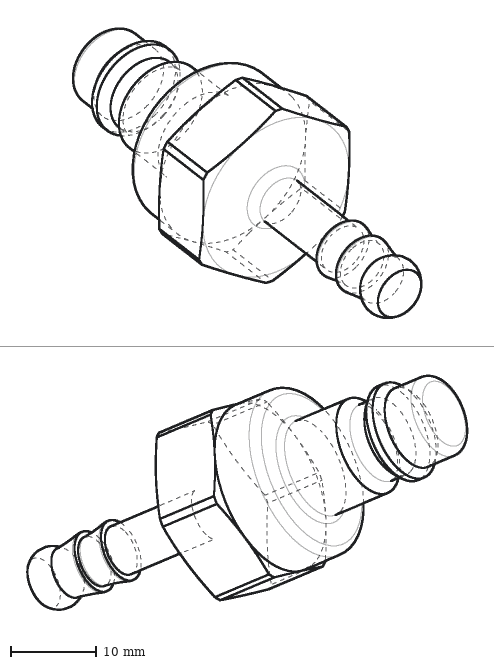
import cadquery as cq
import math

TOTAL_LENGTH = 60.0

NOSE_RADIUS = 10.0 / 2
NOSE_ROUND = 0.95
PLUG_RADIUS = 12.0 / 2
NECK_RADIUS = 9.7 / 2
RING_FOOT_X = 4.9
RING_CREST_X = 5.95
RING_CREST_END_X = 6.9
NECK_START_X = 8.1
SHOULDER_X = 11.4
RING_BULGE = 0.05

COLLAR_X = 19.85
COLLAR_RADIUS = 21.0 / 2
COLLAR_ROUND = 1.0
COLLAR_FILLET = 0.7
HEX_X = 26.05
HEX_END_X = 34.85
HEX_ACROSS_FLATS = 2 * COLLAR_RADIUS
HEX_CORNER_RADIUS = 23.7 / 2
HEX_TILT = 3.3
HEX_CHAMFER = 0.35

TAIL_RADIUS = 6.1 / 2
TAIL_FILLET = 1.1
BARB_RADIUS = 3.8
BARB_ROOT_RADIUS = 3.1
BARB_STARTS = (48.4, 52.4)
BARB_LAND = 0.3
BULB_LENGTH = 3.6
BULB_RADIUS = 3.85
BULB_X = TOTAL_LENGTH - BULB_LENGTH
BARB_ENDS = (52.1, BULB_X)
BARB_HOLLOW = 0.05

ROUND_MID = math.sqrt(0.5)


def bowed_middle(start, end, bow):
    """Middle point of a curved flank, raised by the bow above its straight chord."""
    return ((start[0] + end[0]) / 2, (start[1] + end[1]) / 2 + bow)


def make_plug():
    """Plug with locking ring and neck, its collar, and the fillet between them."""
    round_gap = NOSE_ROUND * (1 - ROUND_MID)
    collar_gap = COLLAR_ROUND * (1 - ROUND_MID)
    ring_edge = (RING_CREST_END_X, PLUG_RADIUS)
    neck_start = (NECK_START_X, NECK_RADIUS)
    shoulder_fillet = PLUG_RADIUS - NECK_RADIUS
    shoulder_gap = shoulder_fillet * (1 - ROUND_MID)
    fillet_bow = COLLAR_FILLET * ROUND_MID
    fillet_radius = PLUG_RADIUS + COLLAR_FILLET
    return (
        cq.Workplane("XY")
        .moveTo(0, 0)
        .lineTo(0, NOSE_RADIUS - NOSE_ROUND)
        .threePointArc((round_gap, NOSE_RADIUS - round_gap), (NOSE_ROUND, NOSE_RADIUS))
        .lineTo(RING_FOOT_X, NOSE_RADIUS)
        .lineTo(RING_CREST_X, PLUG_RADIUS)
        .lineTo(*ring_edge)
        .threePointArc(bowed_middle(ring_edge, neck_start, RING_BULGE), neck_start)
        .lineTo(SHOULDER_X - shoulder_fillet, NECK_RADIUS)
        .threePointArc(
            (SHOULDER_X - shoulder_gap, NECK_RADIUS + shoulder_gap),
            (SHOULDER_X, PLUG_RADIUS),
        )
        .lineTo(COLLAR_X - COLLAR_FILLET, PLUG_RADIUS)
        .threePointArc(
            (COLLAR_X - COLLAR_FILLET + fillet_bow, fillet_radius - fillet_bow),
            (COLLAR_X, fillet_radius),
        )
        .lineTo(COLLAR_X, COLLAR_RADIUS - COLLAR_ROUND)
        .threePointArc(
            (COLLAR_X + collar_gap, COLLAR_RADIUS - collar_gap),
            (COLLAR_X + COLLAR_ROUND, COLLAR_RADIUS),
        )
        .lineTo(HEX_X, COLLAR_RADIUS)
        .lineTo(HEX_X, 0)
        .close()
        .revolve(360, (0, 0, 0), (1, 0, 0))
    )


def make_hexagon():
    """Hexagon whose corners are turned down to a cylinder and chamfered at both ends."""
    length = HEX_END_X - HEX_X
    prism = (
        cq.Workplane("YZ", origin=(HEX_X, 0, 0))
        .polygon(6, HEX_ACROSS_FLATS, circumscribed=True)
        .extrude(length)
        .rotate((0, 0, 0), (1, 0, 0), -HEX_TILT)
    )
    turned_blank = (
        cq.Workplane("YZ", origin=(HEX_X, 0, 0))
        .circle(HEX_CORNER_RADIUS)
        .extrude(length)
        .faces("<X or >X")
        .chamfer(HEX_CHAMFER, HEX_CORNER_RADIUS - HEX_ACROSS_FLATS / 2)
    )
    return prism.intersect(turned_blank)


def make_tail():
    """Hose tail with a fillet at its root, two barbs and a rounded tip bulb."""
    fillet_radius = TAIL_RADIUS + TAIL_FILLET
    fillet_gap = TAIL_FILLET * (1 - ROUND_MID)
    profile = (
        cq.Workplane("XY")
        .moveTo(HEX_END_X, 0)
        .lineTo(HEX_END_X, fillet_radius)
        .threePointArc(
            (HEX_END_X + fillet_gap, TAIL_RADIUS + fillet_gap),
            (HEX_END_X + TAIL_FILLET, TAIL_RADIUS),
        )
    )
    profile_radius = TAIL_RADIUS
    for start_x, end_x in zip(BARB_STARTS, BARB_ENDS):
        crest_end = (start_x + BARB_LAND, BARB_RADIUS)
        root = (end_x, BARB_ROOT_RADIUS)
        profile = (
            profile.lineTo(start_x, profile_radius)
            .lineTo(start_x, BARB_RADIUS)
            .lineTo(*crest_end)
            .threePointArc(bowed_middle(crest_end, root, -BARB_HOLLOW), root)
        )
        profile_radius = BARB_ROOT_RADIUS
    return (
        profile.threePointArc((BULB_X + BULB_LENGTH / 2, BULB_RADIUS), (TOTAL_LENGTH, BARB_ROOT_RADIUS))
        .lineTo(TOTAL_LENGTH, 0)
        .close()
        .revolve(360, (0, 0, 0), (1, 0, 0))
    )


result = make_plug().union(make_hexagon()).union(make_tail())